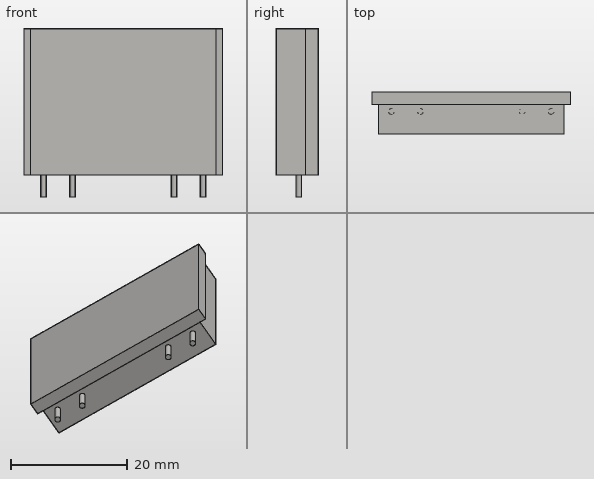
import cadquery as cq

plate_width = 34.2
total_depth = 7.3
plate_depth = 2.22
body_height = 25.2

side_step = 1.13
housing_width = plate_width - 2 * side_step
housing_depth = total_depth - plate_depth

total_height = 29.0
pin_diameter = 1.0
pin_length = total_height - body_height
inner_pin_offset = 8.75
outer_pin_offset = 13.75
pin_setback = 3.9
pin_positions = [-outer_pin_offset, -inner_pin_offset, inner_pin_offset, outer_pin_offset]


def make_block(width, depth, front_y):
    """Upright block standing on Z = 0, centred in X and reaching back from front_y."""
    block = cq.Workplane("XY").box(width, depth, body_height, centered=(True, False, False))
    return block.translate((0, front_y, 0))


def make_pin(x):
    """Round pin hanging from the underside of the housing."""
    return cq.Workplane("XY").center(x, pin_setback).circle(pin_diameter / 2).extrude(-pin_length)


housing = make_block(housing_width, housing_depth, 0)
back_plate = make_block(plate_width, plate_depth, housing_depth)
pins = [make_pin(x).val() for x in pin_positions]

result = cq.Compound.makeCompound([housing.val(), back_plate.val(), *pins])